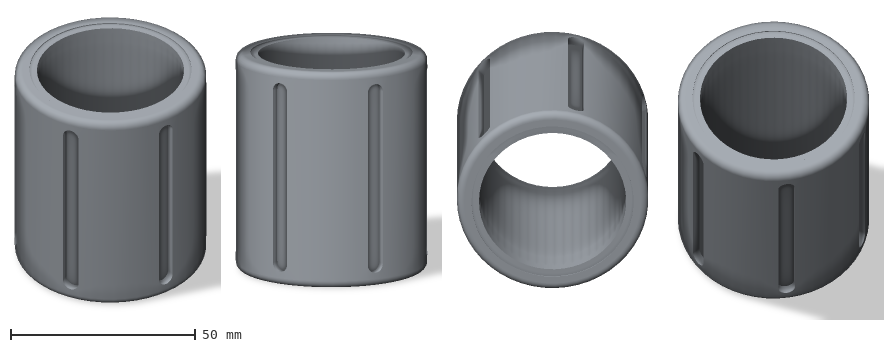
import cadquery as cq

height = 60
outer_diameter = 52.0
outer_radius = outer_diameter / 2
bore_radius = 20.0
rim_fillet = 2.0

recess_radius = 22.0
recess_depth = 0.3

slot_count = 6
slot_length = 52.5
slot_width = 4.55
slot_floor_distance = 23.75
slot_overcut = 1.2


def make_sleeve():
    body = cq.Workplane("XY").circle(outer_radius).extrude(height)
    body = body.edges().fillet(rim_fillet)
    bore = cq.Workplane("XY").circle(bore_radius).extrude(height)
    return body.cut(bore)


def make_end_recess(bottom):
    return cq.Workplane("XY", origin=(0, 0, bottom)).circle(recess_radius).extrude(recess_depth)


def make_slot_cutter(angle):
    """Round-ended axial slot, facing -Y before it is turned about the axis."""
    return (
        cq.Workplane("XZ", origin=(0, -slot_floor_distance, height / 2))
        .slot2D(slot_length, slot_width, 90)
        .extrude(outer_radius - slot_floor_distance + slot_overcut)
        .rotate((0, 0, 0), (0, 0, 1), angle)
    )


result = make_sleeve()

for recess_bottom in (0, height - recess_depth):
    result = result.cut(make_end_recess(recess_bottom))

for index in range(slot_count):
    result = result.cut(make_slot_cutter(index * 360 / slot_count))